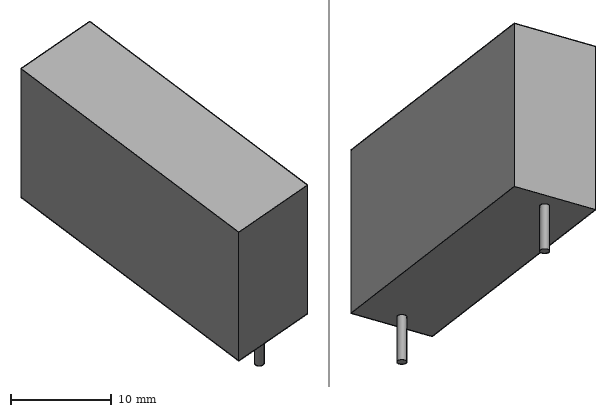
import cadquery as cq

housing_length = 31.5
housing_width = 9.5
housing_height = 18.5

lead_diameter = 1.0
lead_length = 5.1
lead_pitch = 27.5


def make_housing():
    return cq.Workplane("XY").box(
        housing_length, housing_width, housing_height, centered=(True, True, False)
    )


def make_lead(x_position):
    """Round lead hanging from the underside of the housing."""
    return (
        cq.Workplane("XY")
        .center(x_position, 0)
        .circle(lead_diameter / 2)
        .extrude(-lead_length)
    )


housing = make_housing()
leads = [make_lead(side * lead_pitch / 2) for side in (-1, 1)]

result = cq.Compound.makeCompound([housing.val(), *[lead.val() for lead in leads]])